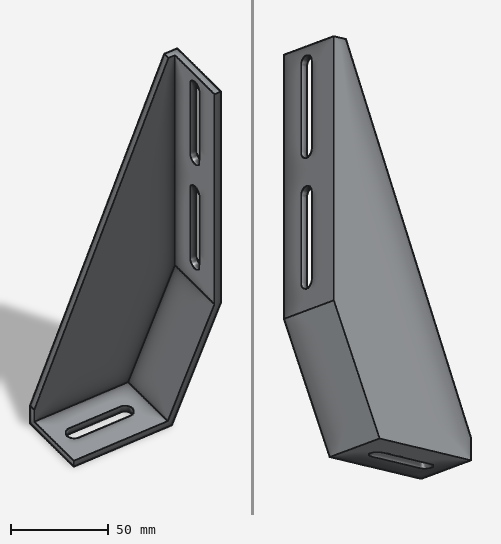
import cadquery as cq

width = 41.0
depth = 90.0
height = 210.0
thickness = 4.0

foot_length = 60.0
back_wall_start = 68.2
top_land = 8.0
front_edge_height = 12.0

slot_width = 8.8
slot_x = (thickness + width) / 2
wall_slot_length = 55.0
wall_slot_pitch = 70.1
top_slot_margin = 4.8
foot_slot_length = 40.0
foot_slot_margin = 8.0

outer_path = [(0, 0), (foot_length, 0), (depth, back_wall_start), (depth, height)]


def side_plate():
    """Flat gusset that closes the -X side."""
    outline = outer_path + [(depth - top_land, height), (0, front_edge_height)]
    return cq.Workplane("YZ").polyline(outline).close().extrude(thickness)


def bent_strip():
    """Foot, sloped wall and vertical wall of constant thickness."""
    solid = cq.Workplane("YZ").polyline(outer_path + [(0, height)]).close().extrude(width)
    wall_run = depth - foot_length
    slope_length = (wall_run**2 + back_wall_start**2) ** 0.5
    foot_setback = thickness * (slope_length - wall_run) / back_wall_start
    wall_rise = thickness * (slope_length - back_wall_start) / wall_run
    hollow = (
        cq.Workplane("YZ")
        .polyline([
            (0, thickness),
            (foot_length - foot_setback, thickness),
            (depth - thickness, back_wall_start + wall_rise),
            (depth - thickness, height),
            (0, height),
        ])
        .close()
        .extrude(width)
    )
    return solid.cut(hollow)


def wall_slots():
    """Two upright slots through the vertical wall."""
    upper_z = height - top_slot_margin - wall_slot_length / 2
    centres = [(slot_x, upper_z), (slot_x, upper_z - wall_slot_pitch)]
    return (
        cq.Workplane("XZ", origin=(0, depth, 0))
        .pushPoints(centres)
        .slot2D(wall_slot_length, slot_width, 90)
        .extrude(thickness)
    )


def foot_slot():
    """Front-to-back slot through the foot."""
    return (
        cq.Workplane("XY")
        .center(slot_x, foot_slot_margin + foot_slot_length / 2)
        .slot2D(foot_slot_length, slot_width, 90)
        .extrude(thickness)
    )


result = bent_strip().union(side_plate()).cut(wall_slots()).cut(foot_slot())